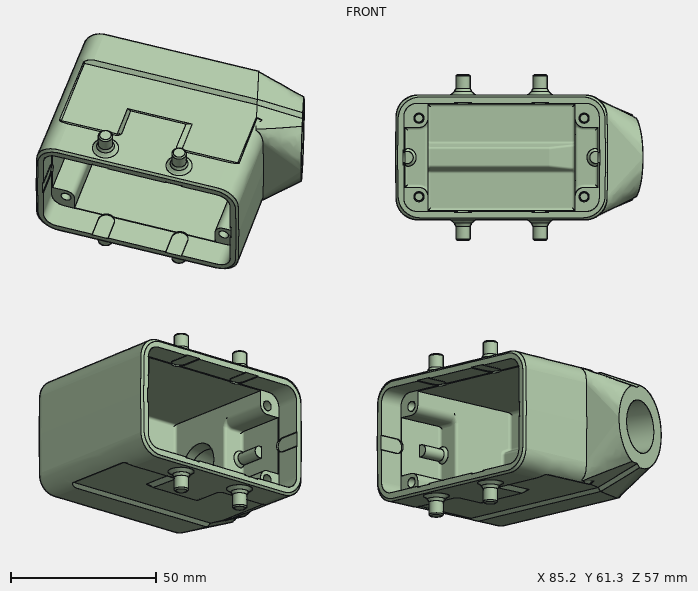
import cadquery as cq
import math

mouth_length = 73.0
mouth_width = 43.0
hood_depth = 57.0
end_crown = 0.3
draft_angle = 0.5
corner_radius = 7.5
back_fillet = 3.5
mouth_chamfer = 0.75

wall = 2.9
cavity_half_length = mouth_length / 2 - wall
cavity_half_width = mouth_width / 2 - wall
cavity_corner_radius = corner_radius - wall
post_face_y = 9.3
shelf_y = 28.0
floor_y = 54.0
well_half_length = 25.3
well_half_width = 18.3
bay_half_length = cavity_half_length - 0.4
bay_half_width = 10.3
post_corner_radius = 3.1
shelf_fillet = 1.0
floor_fillet = 1.0
screw_x = 28.4
screw_z = 13.5
screw_mouth_diameter = 3.5
screw_end_diameter = 2.74
screw_depth = 12.0

lug_radius = 2.1
lug_center_x = 32.45
lug_face_y = 18.0
lug_root_flare = 1.0

ridge_height = 3.5
ridge_base_half = 4.9
ridge_top_half = 3.3
ridge_ramp_start_x = 16.5
ridge_ramp_drop = 2.1

slot_relief = 0.3
slot_tip_y = 10.0
side_slot_width = 5.7
end_slot_width = 5.1

pin_x = 13.25
pin_y = 6.3
pin_radius = 2.5
pin_tip_z = 28.5
pin_tip_chamfer = 0.5
pin_root_z = 20.5
pin_foot_z = 21.35
pin_foot_radius = 4.7
pin_cone_low_z = 21.7
pin_cone_low_radius = 4.0
pin_cone_high_z = 22.6
pin_cone_high_radius = 3.05
pin_straight_z = 23.7

recess_floor_z = 20.0
recess_depth = 1.5
recess_bevel = 1.3
recess_half_length = 31.8
recess_low_y = 14.7
recess_high_y = 41.5
tab_half_length = 11.65
tab_high_y = 26.6

entry_tilt = 15.0
entry_radius = 14.35
entry_reach_x = 48.67
entry_reach_y = 61.28
entry_length = 15.6
entry_base_half_z = 21.1
entry_base_corner = 4.5
entry_trim_v = -8.0
entry_tip_half_z = 14.6
entry_tip_flat = 0.02
entry_step_v = -0.35
entry_step_depth = 1.1
entry_step_bevel = 1.7
thread_diameter = 18.5
thread_depth = 14.0
cable_diameter = 15.9
cable_depth = 26.0

tilt = math.radians(entry_tilt)
entry_center_x = entry_reach_x - entry_radius * math.sin(tilt)
entry_center_y = entry_reach_y - entry_radius * math.cos(tilt)


def across(y):
    """Workplane at depth y: local x = -X, local y = Z, normal = +Y."""
    return cq.Workplane(cq.Plane(origin=(0, y, 0), xDir=(-1, 0, 0), normal=(0, 1, 0)))


def entry_plane(offset):
    """Plane square to the entry axis: local x across the axis, local y = Z, normal outward."""
    origin = (
        entry_center_x + offset * math.cos(tilt),
        entry_center_y + offset * math.sin(tilt),
        0,
    )
    return cq.Plane(
        origin=origin,
        xDir=(-math.sin(tilt), math.cos(tilt), 0),
        normal=(math.cos(tilt), math.sin(tilt), 0),
    )


def block(x0, x1, y0, y1, z0, z1):
    return cq.Workplane("XY").box(x1 - x0, y1 - y0, z1 - z0, centered=False).translate((x0, y0, z0))


def hood_outline(inset):
    """Half-crowned rounded rectangle: a shallow point in the middle of each end wall."""
    tip = mouth_length / 2 - inset
    flank = tip - end_crown
    half = mouth_width / 2 - inset
    outline = [(tip, 0), (flank, half), (-flank, half), (-tip, 0), (-flank, -half), (flank, -half), (tip, 0)]
    return cq.Sketch().polygon(outline).vertices(">Y or <Y").fillet(corner_radius)


def make_hood():
    shell = across(mouth_chamfer).placeSketch(hood_outline(0))
    shell = shell.extrude(hood_depth - mouth_chamfer, taper=draft_angle)
    shell = shell.faces(">Y").edges().fillet(back_fillet)
    lip_top = hood_outline(0).moved(cq.Location(cq.Vector(0, 0, mouth_chamfer)))
    lip = across(0).placeSketch(hood_outline(mouth_chamfer), lip_top).loft(ruled=True)
    hood = shell.union(lip)
    corner = (
        cq.Workplane(entry_plane(-entry_length))
        .center(entry_trim_v + entry_radius, 0)
        .rect(2 * entry_radius, 2 * mouth_width)
        .extrude(2 * entry_length)
    )
    return hood.cut(corner)


def make_entry():
    """Ruled transition from a rounded rectangle on the hood to a nearly round tip."""
    tip_radius = entry_radius - entry_tip_flat
    base = cq.Sketch().rect(2 * entry_radius, 2 * entry_base_half_z).vertices().fillet(entry_base_corner)
    tip = cq.Sketch().rect(2 * entry_radius, 2 * entry_tip_half_z).vertices().fillet(tip_radius)
    return (
        cq.Workplane(entry_plane(-entry_length))
        .placeSketch(base, tip.moved(cq.Location(cq.Vector(0, 0, entry_length))))
        .loft(ruled=True)
    )


def make_entry_step():
    """Wedge that carries the +Z recess on along the entry below its axis."""
    far = 2 * entry_radius

    def section(offset, floor_z):
        return (
            cq.Workplane(entry_plane(offset))
            .polyline([
                (entry_step_v - entry_step_bevel, floor_z),
                (entry_step_v, floor_z + entry_step_depth),
                (entry_step_v, floor_z + far),
                (-far, floor_z + far),
                (-far, floor_z),
            ])
            .close()
            .wires()
            .val()
        )

    start = section(-entry_length, entry_base_half_z - entry_step_depth)
    end = section(0, entry_tip_half_z - entry_step_depth)
    return cq.Workplane(cq.Solid.makeLoft([start, end], True))


def make_recess():
    """Bevelled recess on the +Z side with a full-height tab standing in it."""
    angle = math.degrees(math.atan(recess_bevel))
    outline = [
        (-recess_half_length, recess_low_y),
        (-tab_half_length, recess_low_y),
        (-tab_half_length, tab_high_y),
        (tab_half_length, tab_high_y),
        (tab_half_length, recess_low_y),
        (recess_half_length, recess_low_y),
        (recess_half_length, recess_high_y),
        (-recess_half_length, recess_high_y),
    ]
    return (
        cq.Workplane("XY", origin=(0, 0, recess_floor_z))
        .polyline(outline)
        .close()
        .extrude(recess_depth, taper=-angle)
    )


def make_pin(x):
    tip_radius = pin_radius - pin_tip_chamfer
    return (
        cq.Workplane("XZ")
        .moveTo(0, pin_root_z)
        .lineTo(pin_foot_radius, pin_root_z)
        .lineTo(pin_foot_radius, pin_foot_z)
        .lineTo(pin_cone_low_radius, pin_cone_low_z)
        .lineTo(pin_cone_high_radius, pin_cone_high_z)
        .lineTo(pin_radius, pin_straight_z)
        .lineTo(pin_radius, pin_tip_z - pin_tip_chamfer)
        .lineTo(tip_radius, pin_tip_z)
        .lineTo(0, pin_tip_z)
        .close()
        .revolve(360, (0, 0, 0), (0, 1, 0))
        .translate((x, pin_y, 0))
    )


def make_ridge():
    """Ridge along X on the cavity floor, ramped down toward the cable entry."""
    top_y = floor_y - ridge_height
    ridge = (
        cq.Workplane("YZ", origin=(-well_half_length, 0, 0))
        .polyline([
            (floor_y, -ridge_base_half),
            (top_y, -ridge_top_half),
            (top_y, ridge_top_half),
            (floor_y, ridge_base_half),
        ])
        .close()
        .extrude(2 * well_half_length)
    )
    ramp = (
        cq.Workplane("XY", origin=(0, 0, -ridge_base_half))
        .polyline([
            (ridge_ramp_start_x, top_y),
            (well_half_length, top_y),
            (well_half_length, top_y + ridge_ramp_drop),
        ])
        .close()
        .extrude(2 * ridge_base_half)
    )
    return ridge.cut(ramp)


def make_bay():
    """Space between the +X posts: the post corners are rounded and the shelf edges filleted."""
    flare_z = bay_half_width + post_corner_radius
    reach_z = flare_z + shelf_fillet
    flare_x = well_half_length + post_corner_radius
    mid_x = flare_x - post_corner_radius * math.sqrt(0.5)
    mid_z = flare_z - post_corner_radius * math.sqrt(0.5)
    inner_x = well_half_length - 2 * shelf_fillet
    bay = (
        cq.Workplane("XZ")
        .moveTo(inner_x, -reach_z)
        .lineTo(well_half_length, -reach_z)
        .lineTo(well_half_length, -flare_z)
        .threePointArc((mid_x, -mid_z), (flare_x, -bay_half_width))
        .lineTo(bay_half_length, -bay_half_width)
        .lineTo(bay_half_length, bay_half_width)
        .lineTo(flare_x, bay_half_width)
        .threePointArc((mid_x, mid_z), (well_half_length, flare_z))
        .lineTo(well_half_length, reach_z)
        .lineTo(inner_x, reach_z)
        .close()
        .extrude(-shelf_y)
    )
    walls = cq.selectors.BoxSelector(
        (well_half_length - 0.1, shelf_y - 0.1, -reach_z + 0.1),
        (bay_half_length + 1, shelf_y + 0.1, reach_z - 0.1),
    )
    return bay.edges(walls).fillet(shelf_fillet)


def make_cavity():
    mouth = (
        across(0)
        .rect(2 * cavity_half_length, 2 * cavity_half_width)
        .extrude(post_face_y)
        .edges("|Y")
        .fillet(cavity_corner_radius)
    )
    well = across(0).rect(2 * well_half_length, 2 * well_half_width).extrude(floor_y).cut(make_ridge())
    floor_edges = cq.selectors.BoxSelector(
        (-well_half_length - 1, floor_y - ridge_height - 0.1, -well_half_width - 1),
        (well_half_length + 1, floor_y + 1, well_half_width + 1),
    )
    well = well.edges(floor_edges).fillet(floor_fillet)
    bay = make_bay()
    cavity = mouth.union(well).union(bay).union(bay.mirror("YZ"))
    shelf_lips = cq.selectors.BoxSelector(
        (-well_half_length - 0.1, shelf_y - 0.1, -1),
        (well_half_length + 0.1, shelf_y + 0.1, 1),
    )
    return cavity.edges(shelf_lips).fillet(shelf_fillet)


def make_lug():
    """Half-round lug on the +X shelf, flared where it meets the shelf."""
    height = shelf_y - lug_face_y
    lug = across(lug_face_y).center(-lug_center_x, 0).circle(lug_radius).extrude(height)
    flare = (
        across(shelf_y - lug_root_flare)
        .center(-lug_center_x, 0)
        .circle(lug_radius)
        .extrude(lug_root_flare, taper=-45)
    )
    back = block(
        lug_center_x, cavity_half_length, lug_face_y, shelf_y, -lug_radius, lug_radius
    )
    return lug.union(flare).union(back)


def make_slot(width, reach):
    """Round-ended slot from the mouth, cut upward to just past the height reach."""
    radius = width / 2
    return (
        cq.Workplane("XY")
        .moveTo(-radius, 0)
        .lineTo(radius, 0)
        .lineTo(radius, slot_tip_y - radius)
        .threePointArc((0, slot_tip_y), (-radius, slot_tip_y - radius))
        .close()
        .extrude(reach + slot_relief)
    )


def make_screw_hole(x, z):
    return (
        across(post_face_y)
        .center(-x, z)
        .circle(screw_mouth_diameter / 2)
        .workplane(offset=screw_depth)
        .circle(screw_end_diameter / 2)
        .loft()
    )


def make_bore():
    """Stepped cable bore along the entry axis, opening into the cavity."""
    thread = cq.Workplane(entry_plane(-thread_depth)).circle(thread_diameter / 2).extrude(thread_depth)
    cable = cq.Workplane(entry_plane(-cable_depth)).circle(cable_diameter / 2).extrude(cable_depth)
    return thread.union(cable)


recess = make_recess()
hood = make_hood().cut(recess).cut(recess.mirror("XY"))

step = make_entry_step()
entry = make_entry().cut(step).cut(step.mirror("XY"))

body = hood.union(entry)

for x in (-pin_x, pin_x):
    pin = make_pin(x)
    body = body.union(pin).union(pin.mirror("XY"))

body = body.cut(make_cavity()).cut(make_bore())

lug = make_lug()
body = body.union(lug).union(lug.mirror("YZ"))

for x in (-pin_x, pin_x):
    side_slot = make_slot(side_slot_width, cavity_half_width).translate((x, 0, 0))
    body = body.cut(side_slot).cut(side_slot.mirror("XY"))

end_slot = make_slot(end_slot_width, cavity_half_length).rotate((0, 0, 0), (0, 1, 0), 90)
body = body.cut(end_slot).cut(end_slot.mirror("YZ"))

for x in (-screw_x, screw_x):
    for z in (-screw_z, screw_z):
        body = body.cut(make_screw_hole(x, z))

result = body